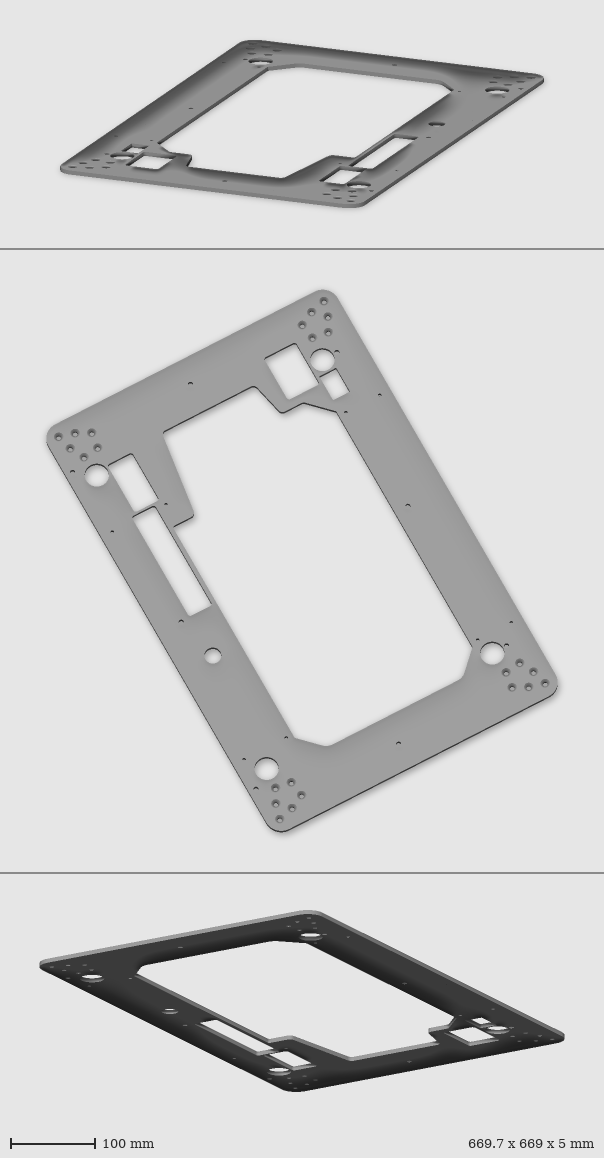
import cadquery as cq
import math

plate_length = 580.0
plate_width = 390.0
plate_thickness = 5.0
plate_corner_radius = 20.0
plate_turn = -44.85

hole_axis_y = 10.0
large_hole_diameter = 29.0
large_hole_x = 210.0
large_hole_offset_y = 152.0
cable_hole_diameter = 20.0
cable_hole_center = (-55.0, 150.0)

mount_hole_diameter = 6.0
end_hole_x = 258.0
side_hole_offset_y = 153.0
upper_mount_hole = (227.0, 185.5)
lower_mount_hole = (210.0, -161.5)

pin_hole_diameter = 4.15
pin_row_left_x = -187.5
pin_row_right_x = 138.5
pin_edge_y = 180.0
pin_lower_y = -134.5
pin_upper_left_y = 123.0
pin_upper_right_y = 108.0

bolt_hole_diameter = 5.5
bolt_head_diameter = 11.5
countersink_angle = 90
outer_bolt = (274.0, 179.0)
bolt_ring = [(0, 0), (17.5, 10.0), (17.5, -10.0), (36.0, 16.0), (36.0, -16.0), (48.0, 0)]

rectangular_openings = [
    (1.5, 144.5, 120.0, 151.0, 3.5),
    (147.0, 215.5, 112.0, 145.0, 3.5),
    (185.0, 245.0, -124.5, -82.0, 3.5),
    (159.5, 193.5, -151.0, -128.5, 0),
]

window_half_length = 221.0
window_top = 114.5
window_bottom = -125.0
window_corner_cut = 29.0
window_cut_radius = 17.0
window_radius = 6.0
upper_step_radius = 3.0
upper_step_x = 110.5
upper_slope_start_y = 84.0
upper_slope_end_y = 69.0
lower_step_x = 174.0
lower_slope_start_y = -67.0
lower_slope_end_y = -56.0


def toward(start, end, distance):
    """The point a given distance from start on the way to end."""
    share = distance / math.dist(start, end)
    return (start[0] + share * (end[0] - start[0]), start[1] + share * (end[1] - start[1]))


def rounded_outline(corners):
    """A closed outline through (point, radius) corners; a radius of 0 leaves a corner sharp."""
    rounded = []
    for i, (point, radius) in enumerate(corners):
        before = corners[i - 1][0]
        after = corners[(i + 1) % len(corners)][0]
        if radius == 0:
            rounded.append((point, point, point))
            continue
        to_before = math.atan2(before[1] - point[1], before[0] - point[0])
        to_after = math.atan2(after[1] - point[1], after[0] - point[0])
        half_angle = math.acos(math.cos(to_before - to_after)) / 2
        tangent_length = radius / math.tan(half_angle)
        start = toward(point, before, tangent_length)
        end = toward(point, after, tangent_length)
        chord_middle = ((start[0] + end[0]) / 2, (start[1] + end[1]) / 2)
        middle = toward(point, chord_middle, radius / math.sin(half_angle) - radius)
        rounded.append((start, middle, end))

    outline = cq.Workplane("XY").moveTo(*rounded[0][2])
    for start, middle, end in rounded[1:] + rounded[:1]:
        outline = outline.lineTo(*start)
        if start != end:
            outline = outline.threePointArc(middle, end)
    return outline.close()


def mirrored_both_ways(x, y, axis_y=0.0):
    """The four places at +-x and at +-y from the line axis_y."""
    return [(side * x, axis_y + end * y) for side in (-1, 1) for end in (-1, 1)]


def drill(plate, places, diameter):
    return plate.faces(">Z").workplane(origin=(0, 0, 0)).pushPoints(places).hole(diameter)


def make_plate():
    plate = cq.Workplane("XY").rect(plate_length, plate_width).extrude(plate_thickness)
    return plate.edges("|Z").fillet(plate_corner_radius)


def cut_window(plate):
    left, right = -window_half_length, window_half_length
    cut = window_corner_cut
    corners = [
        ((left, window_bottom + cut), window_cut_radius),
        ((left, window_top - cut), window_cut_radius),
        ((left + cut, window_top), 0),
        ((upper_step_x, window_top), upper_step_radius),
        ((upper_step_x, upper_slope_start_y), window_radius),
        ((right, upper_slope_end_y), window_radius),
        ((right, lower_slope_end_y), window_radius),
        ((lower_step_x, lower_slope_start_y), window_radius),
        ((lower_step_x, window_bottom + cut), window_radius),
        ((lower_step_x - cut, window_bottom), 0),
        ((left + cut, window_bottom), 0),
    ]
    return plate.cut(rounded_outline(corners).extrude(plate_thickness))


def cut_rectangular_openings(plate):
    for left, right, bottom, top, radius in rectangular_openings:
        points = [(left, bottom), (right, bottom), (right, top), (left, top)]
        outline = rounded_outline([(point, radius) for point in points])
        plate = plate.cut(outline.extrude(plate_thickness))
    return plate


def drill_plain_holes(plate):
    large_places = mirrored_both_ways(large_hole_x, large_hole_offset_y, hole_axis_y)
    plate = drill(plate, large_places, large_hole_diameter)
    plate = drill(plate, [cable_hole_center], cable_hole_diameter)

    mount_places = [
        (0, hole_axis_y + side_hole_offset_y),
        (0, hole_axis_y - side_hole_offset_y),
    ]
    for side in (-1, 1):
        mount_places.append((side * end_hole_x, hole_axis_y))
        mount_places.append((side * upper_mount_hole[0], upper_mount_hole[1]))
        mount_places.append((side * lower_mount_hole[0], lower_mount_hole[1]))
    plate = drill(plate, mount_places, mount_hole_diameter)

    pin_places = []
    for x, upper_y in ((pin_row_left_x, pin_upper_left_y), (pin_row_right_x, pin_upper_right_y)):
        pin_places += [(x, y) for y in (pin_edge_y, upper_y, pin_lower_y, -pin_edge_y)]
    return drill(plate, pin_places, pin_hole_diameter)


def drill_bolt_holes(plate):
    places = []
    for inward, sideways in bolt_ring:
        x = outer_bolt[0] - (inward + sideways) / math.sqrt(2)
        y = outer_bolt[1] - (inward - sideways) / math.sqrt(2)
        places += mirrored_both_ways(x, y)
    top = plate.faces(">Z").workplane(origin=(0, 0, 0)).pushPoints(places)
    return top.cskHole(bolt_hole_diameter, bolt_head_diameter, countersink_angle)


plate = make_plate()
plate = cut_window(plate)
plate = cut_rectangular_openings(plate)
plate = drill_plain_holes(plate)
plate = drill_bolt_holes(plate)
result = plate.rotate((0, 0, 0), (0, 0, 1), plate_turn)